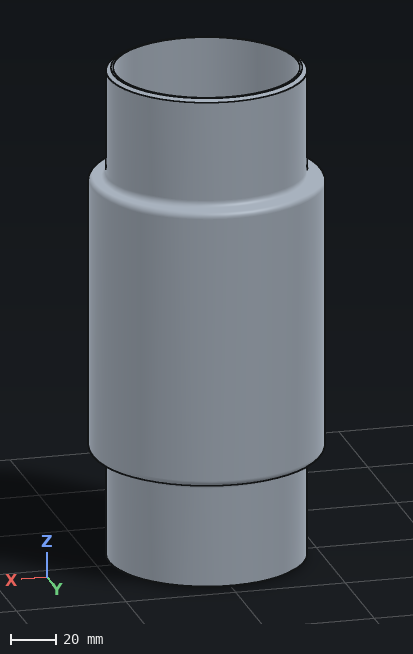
import cadquery as cq
import math

total_length = 228.0
body_length = 128.0
body_diameter = 104.7
neck_diameter = 88.9
wall_thickness = 3.2

shoulder_fillet = 2.9
root_fillet = 3.0
rim_land = 1.0
rim_bevel_angle = 30.0

body_radius = body_diameter / 2
neck_radius = neck_diameter / 2
bore_radius = neck_radius - wall_thickness
end_height = total_length / 2
shoulder_height = body_length / 2
rim_radius = bore_radius + rim_land
rim_bevel_height = (neck_radius - rim_radius) * math.tan(math.radians(rim_bevel_angle))


def make_half_section():
    """Closed half section, with radius along X and height along Z."""
    return (
        cq.Workplane("XZ")
        .moveTo(bore_radius, -end_height)
        .lineTo(rim_radius, -end_height)
        .lineTo(neck_radius, rim_bevel_height - end_height)
        .lineTo(neck_radius, -shoulder_height - root_fillet)
        .radiusArc((neck_radius + root_fillet, -shoulder_height), root_fillet)
        .lineTo(body_radius - shoulder_fillet, -shoulder_height)
        .radiusArc((body_radius, shoulder_fillet - shoulder_height), -shoulder_fillet)
        .lineTo(body_radius, shoulder_height - shoulder_fillet)
        .radiusArc((body_radius - shoulder_fillet, shoulder_height), -shoulder_fillet)
        .lineTo(neck_radius + root_fillet, shoulder_height)
        .radiusArc((neck_radius, shoulder_height + root_fillet), root_fillet)
        .lineTo(neck_radius, end_height - rim_bevel_height)
        .lineTo(rim_radius, end_height)
        .lineTo(bore_radius, end_height)
        .close()
    )


result = make_half_section().revolve(360, (0, 0, 0), (0, 1, 0))